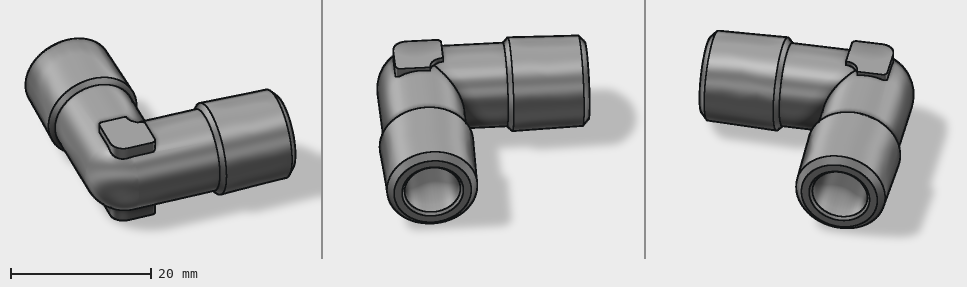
import cadquery as cq

overall_length = 30.73
thread_radius = 6.73
thread_tip_radius = 6.48
tip_chamfer_length = 0.9
tip_face_radius = 5.53
thread_end = 10.97
shoulder_length = 0.75
tube_radius = 12.0 / 2
bore_radius = 8.0 / 2
bore_mouth_radius = 4.4
bore_mouth_depth = 0.4
arm_length = overall_length - thread_radius

pad_left = -3.35
pad_right = 3.63
pad_front = -2.8
pad_back = 3.5
pad_half_height = 6.5
pad_corner_radius = 2.03
pad_edge_radius = 0.65


def revolve_arm(profile):
    """Revolve (radius, Y) points around the Y axis."""
    return cq.Workplane("XY").polyline(profile).close().revolve(360, (0, 0, 0), (0, 1, 0))


def arm_along_x(arm):
    """Turn an arm along +Y to run along -X."""
    return arm.rotate((0, 0, 0), (0, 0, 1), 90)


def make_pads():
    width = pad_right - pad_left
    depth = pad_back - pad_front
    block = (
        cq.Workplane("XY")
        .box(width, depth, 2 * pad_half_height, centered=(False, False, True))
        .translate((pad_left, pad_front, 0))
    )
    block = block.edges("|Z and >X and <Y").fillet(pad_corner_radius)
    block = block.edges("(|Z and <X and <Y) or (|Z and >X and >Y)").fillet(pad_edge_radius)
    notch = (
        cq.Workplane("XY")
        .center(pad_left, pad_back)
        .circle(pad_corner_radius)
        .extrude(pad_half_height, both=True)
    )
    return block.cut(notch)


outer_arm = revolve_arm([
    (0, 0),
    (tube_radius, 0),
    (tube_radius, arm_length - thread_end - shoulder_length),
    (thread_radius, arm_length - thread_end),
    (thread_tip_radius, arm_length - tip_chamfer_length),
    (tip_face_radius, arm_length),
    (0, arm_length),
])

bore_arm = revolve_arm([
    (0, 0),
    (bore_radius, 0),
    (bore_radius, arm_length - bore_mouth_depth),
    (bore_mouth_radius, arm_length),
    (0, arm_length),
])

body = outer_arm.union(arm_along_x(outer_arm))
body = body.union(cq.Workplane("XY").sphere(tube_radius))
body = body.union(make_pads())

passage = bore_arm.union(arm_along_x(bore_arm))
passage = passage.union(cq.Workplane("XY").sphere(bore_radius))

result = body.cut(passage)